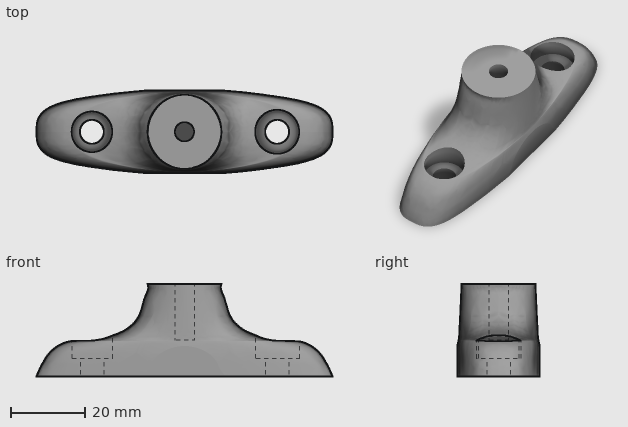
import cadquery as cq
import math

LENGTH = 80.0
WIDTH = 22.3
HEIGHT = 25.0
TOP_RADIUS = 10.0

HALF_LENGTH = LENGTH / 2
HALF_WIDTH = WIDTH / 2

BULGE_HALF_WIDTH = 11.64
FOOT_QUARTER = [
    (HALF_LENGTH, 0.0),
    (39.5, 3.5),
    (38.0, 5.5),
    (34.0, 7.6),
    (25.0, 9.52),
    (15.0, 10.79),
    (7.0, 11.39),
    (0.0, BULGE_HALF_WIDTH),
]

STATIONS = [
    (0.0, HALF_LENGTH, BULGE_HALF_WIDTH),
    (1.4, 39.4, 11.6),
    (2.8, 38.75, 11.55),
    (5.6, 37.08, 11.44),
    (7.5, 35.3, 11.26),
    (8.9, 33.0, 11.03),
    (9.57, 30.9, 10.87),
    (9.73, 28.2, 10.82),
    (10.07, 24.6, 10.76),
    (11.0, 19.8, 10.67),
    (12.5, 16.15, 10.6),
    (14.5, 13.6, 10.5),
    (17.5, 11.85, 10.35),
    (21.0, 10.85, 10.18),
    (HEIGHT, TOP_RADIUS, TOP_RADIUS),
]

SCREW_SPACING = 50.0
SCREW_HOLE_DIAMETER = 6.4
LEFT_COUNTERBORE_DIAMETER = 11.0
RIGHT_COUNTERBORE_DIAMETER = 11.9
COUNTERBORE_FLOOR = 5.0
CENTRE_HOLE_DIAMETER = 5.2
CENTRE_HOLE_DEPTH = 15.0


def section(height, half_length, half_width):
    """Closed section that blends from the foot outline to the round top, point by point."""
    foot_share_x = (half_length - TOP_RADIUS) / (HALF_LENGTH - TOP_RADIUS)
    foot_share_y = (half_width - TOP_RADIUS) / (BULGE_HALF_WIDTH - TOP_RADIUS)
    quarter = []
    for foot_x, foot_y in FOOT_QUARTER:
        angle = math.acos(foot_x / HALF_LENGTH)
        circle_x = TOP_RADIUS * math.cos(angle)
        circle_y = TOP_RADIUS * math.sin(angle)
        x = circle_x + foot_share_x * (foot_x - circle_x)
        y = circle_y + foot_share_y * (foot_y - circle_y)
        quarter.append((x, y))
    right_half = [(x, -y) for x, y in reversed(quarter)] + quarter[1:]
    left_half = [(-x, -y) for x, y in right_half]
    outline = right_half[:-1] + left_half[:-1]
    points = [cq.Vector(x, y, height) for x, y in outline]
    return cq.Wire.assembleEdges([cq.Edge.makeSpline(points, periodic=True)])


def make_body():
    """+Y half of the lofted body, trimmed by the side flat and mirrored about the XZ plane."""
    lofted = cq.Workplane(cq.Solid.makeLoft([section(*station) for station in STATIONS]))
    back_half = cq.Workplane().box(LENGTH, HALF_WIDTH, HEIGHT, centered=(True, False, False))
    half_body = lofted.intersect(back_half)
    return half_body.union(half_body.mirror("XZ"))


def vertical_cylinder(x, diameter, bottom, top):
    return cq.Workplane("XY", origin=(x, 0, bottom)).circle(diameter / 2).extrude(top - bottom)


def screw_hole(x, counterbore_diameter):
    through = vertical_cylinder(x, SCREW_HOLE_DIAMETER, 0, HEIGHT)
    counterbore = vertical_cylinder(x, counterbore_diameter, COUNTERBORE_FLOOR, HEIGHT)
    return through.union(counterbore)


result = make_body()
result = result.cut(screw_hole(-SCREW_SPACING / 2, LEFT_COUNTERBORE_DIAMETER))
result = result.cut(screw_hole(SCREW_SPACING / 2, RIGHT_COUNTERBORE_DIAMETER))
result = result.cut(vertical_cylinder(0, CENTRE_HOLE_DIAMETER, HEIGHT - CENTRE_HOLE_DEPTH, HEIGHT))